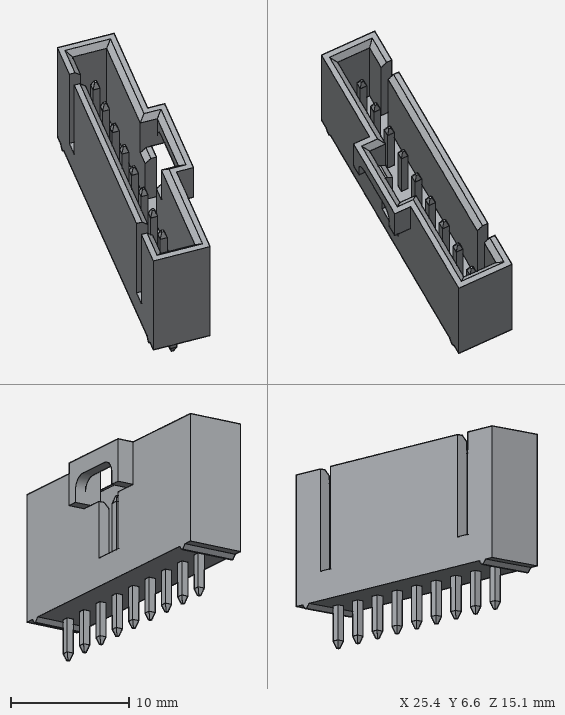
import cadquery as cq


length = 25.4
depth = 5.08
height = 11.43
wall = 1.02
floor_z = 2.55

lead_in = 0.5
lead_in_height = 0.48

hood_width = 7.62
hood_depth = 1.52
hood_bottom_z = 7.62
hood_window_top_z = 9.9
hood_window_radius = 1.15
key_notch_width = 2.97

slot_width = 1.3
slot_x = 8.9

ridge_x = 11.43
ridge_width = 0.86
ridge_tip_width = 0.15
ridge_height = 0.38

pin_count = 9
pin_pitch = 2.55
pin_size = 0.64
pin_tip_size = 0.2
pin_tip_length = 0.64
pin_bottom_z = -3.68
pin_top_z = 8.9

back_y = depth / 2
hood_back_y = back_y + hood_depth
hood_inner_width = hood_width - 2 * wall
lead_in_z = height - lead_in_height


def block(width, y_min, y_max, z_min, z_max, center_x=0.0):
    """Axis-aligned block centred on center_x."""
    return (
        cq.Workplane("XY")
        .box(width, y_max - y_min, z_max - z_min, centered=(True, False, False))
        .translate((center_x, y_min, z_min))
    )


def cavity_outline(margin):
    """Outline of housing and hood together, moved inward by margin, as a list of points."""
    side = length / 2 - margin
    hood_side = hood_width / 2 - margin
    front = -depth / 2 + margin
    back = back_y - margin
    hood_back = hood_back_y - margin
    return [
        (-side, front),
        (side, front),
        (side, back),
        (hood_side, back),
        (hood_side, hood_back),
        (-hood_side, hood_back),
        (-hood_side, back),
        (-side, back),
    ]


def make_cavity():
    """Pin chamber, hood chamber and the sloped lead-in at the mouth."""
    chamber = block(length - 2 * wall, -back_y + wall, back_y - wall, floor_z, height)
    hood_chamber = block(hood_inner_width, 0, hood_back_y - wall, hood_bottom_z, height)
    mouth = (
        cq.Workplane("XY", origin=(0, 0, lead_in_z))
        .polyline(cavity_outline(wall))
        .close()
        .workplane(offset=lead_in_height)
        .polyline(cavity_outline(wall - lead_in))
        .close()
        .loft(ruled=True)
    )
    return chamber.union(hood_chamber).union(mouth)


def make_hood_window():
    """Opening in the back of the hood, open below, with rounded upper corners."""
    window = block(hood_inner_width, hood_back_y - wall, hood_back_y, hood_bottom_z, hood_window_top_z)
    return window.edges("|Y and >Z").fillet(hood_window_radius)


def make_ledge_slope():
    """Lead-in slope on the inner edge of the back wall below the hood."""
    inner_y = back_y - wall
    return (
        cq.Workplane("YZ")
        .polyline([
            (inner_y, hood_bottom_z),
            (inner_y, hood_bottom_z - lead_in_height),
            (inner_y + lead_in, hood_bottom_z),
        ])
        .close()
        .extrude(hood_inner_width / 2, both=True)
    )


def make_ridge(center_x):
    """Tapered ridge across the full depth of the underside."""
    return (
        cq.Workplane("XZ")
        .polyline([
            (center_x - ridge_width / 2, 0),
            (center_x + ridge_width / 2, 0),
            (center_x + ridge_tip_width / 2, -ridge_height),
            (center_x - ridge_tip_width / 2, -ridge_height),
        ])
        .close()
        .extrude(depth / 2, both=True)
    )


def make_pin_tip(base_z, direction):
    """Square taper from the pin body; direction is 1 for up, -1 for down."""
    return (
        cq.Workplane("XY", origin=(0, 0, base_z))
        .rect(pin_size, pin_size)
        .workplane(offset=direction * pin_tip_length)
        .rect(pin_tip_size, pin_tip_size)
        .loft(ruled=True)
    )


def make_pin():
    """Square pin on the Z axis, tapered at both ends."""
    body_bottom_z = pin_bottom_z + pin_tip_length
    body_top_z = pin_top_z - pin_tip_length
    body = block(pin_size, -pin_size / 2, pin_size / 2, body_bottom_z, body_top_z)
    return body.union(make_pin_tip(body_top_z, 1)).union(make_pin_tip(body_bottom_z, -1))


housing = block(length, -back_y, back_y, 0, height)
hood = block(hood_width, back_y, hood_back_y, hood_bottom_z, height)
result = housing.union(hood).cut(make_cavity()).cut(make_hood_window())

result = result.cut(make_ledge_slope())
result = result.cut(block(key_notch_width, 0, back_y, floor_z, hood_bottom_z))

for side in (-1, 1):
    result = result.cut(block(slot_width, -back_y, -back_y + wall, floor_z, height, side * slot_x))
    result = result.union(make_ridge(side * ridge_x))

pin = make_pin()
for index in range(pin_count):
    pin_x = (index - (pin_count - 1) / 2) * pin_pitch
    result = result.union(pin.translate((pin_x, 0, 0)))